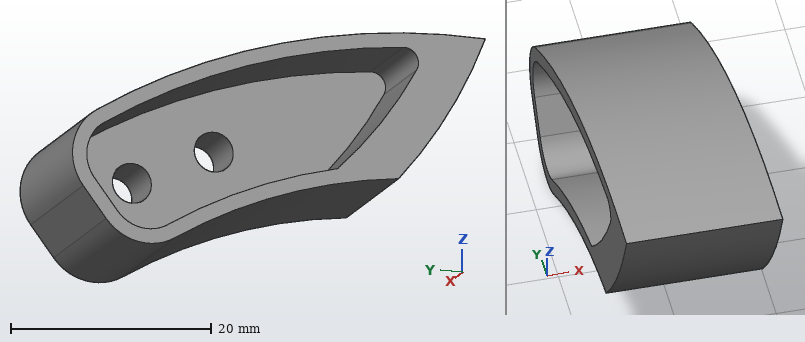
import cadquery as cq
import math


width = 16.0
band_outer_radius = 70.6
band_height = 15.0
band_inner_radius = band_outer_radius - band_height

end_angle = 37.25
end_corner_radius = 5.5

tip_radius = 49.9
tip_axis_distance = 98.3
tip_axis_angle = 26.24

pocket_depth = 10.0
wall = 1.5
tip_wall = 5.0
pocket_end_corner_radius = end_corner_radius - wall
pocket_tip_corner_radius = 1.5

hole_diameter = 4.1
hole_angles = (20.4, 29.05)
hole_path_radius = (band_outer_radius + band_inner_radius) / 2


def polar(radius, angle):
    """Point (Y, Z) at a radius and an angle around the band axis."""
    radians = math.radians(angle)
    return (radius * math.sin(radians), radius * math.cos(radians))


def tip_angle_at(radius, arc_radius):
    """Angle where a tip arc crosses a circle around the band axis (cosine rule)."""
    cosine = (radius**2 + tip_axis_distance**2 - arc_radius**2) / (2 * radius * tip_axis_distance)
    return tip_axis_angle - math.degrees(math.acos(cosine))


def end_angle_at(radius, inset):
    """Angle where the end line, moved inwards by inset, crosses a circle around the band axis."""
    return end_angle - math.degrees(math.asin(inset / radius))


def tip_arc_middle(start, finish, arc_radius):
    """Middle point of the tip arc between two points on it."""
    axis_y, axis_z = polar(tip_axis_distance, tip_axis_angle)
    offset_y = (start[0] + finish[0]) / 2 - axis_y
    offset_z = (start[1] + finish[1]) / 2 - axis_z
    stretch = arc_radius / math.hypot(offset_y, offset_z)
    return (axis_y + offset_y * stretch, axis_z + offset_z * stretch)


def band_piece(inset, tip_inset, length):
    """Sharp-cornered band piece with its outline moved inwards, and its four corner points."""
    outer_radius = band_outer_radius - inset
    inner_radius = band_inner_radius + inset
    arc_radius = tip_radius - tip_inset

    outer_tip_angle = tip_angle_at(outer_radius, arc_radius)
    inner_tip_angle = tip_angle_at(inner_radius, arc_radius)
    outer_end_angle = end_angle_at(outer_radius, inset)
    inner_end_angle = end_angle_at(inner_radius, inset)

    outer_tip = polar(outer_radius, outer_tip_angle)
    inner_tip = polar(inner_radius, inner_tip_angle)
    outer_end = polar(outer_radius, outer_end_angle)
    inner_end = polar(inner_radius, inner_end_angle)

    solid = (
        cq.Workplane("YZ")
        .moveTo(*outer_tip)
        .threePointArc(polar(outer_radius, (outer_tip_angle + outer_end_angle) / 2), outer_end)
        .lineTo(*inner_end)
        .threePointArc(polar(inner_radius, (inner_tip_angle + inner_end_angle) / 2), inner_tip)
        .threePointArc(tip_arc_middle(inner_tip, outer_tip, arc_radius), outer_tip)
        .close()
        .extrude(length)
    )
    return solid, outer_tip, outer_end, inner_end


def round_corner(solid, corner, length, radius):
    """Fillet the edge along X that stands on one corner point of the outline."""
    edge = cq.selectors.NearestToPointSelector((length / 2, *corner))
    return solid.edges("|X").edges(edge).fillet(radius)


def make_body():
    solid, _, outer_end, inner_end = band_piece(0, 0, width)
    for corner in (outer_end, inner_end):
        solid = round_corner(solid, corner, width, end_corner_radius)
    return solid


def make_pocket():
    solid, outer_tip, outer_end, inner_end = band_piece(wall, tip_wall, pocket_depth)
    for corner in (outer_end, inner_end):
        solid = round_corner(solid, corner, pocket_depth, pocket_end_corner_radius)
    return round_corner(solid, outer_tip, pocket_depth, pocket_tip_corner_radius)


def make_cross_holes():
    centers = [polar(hole_path_radius, angle) for angle in hole_angles]
    return cq.Workplane("YZ").pushPoints(centers).circle(hole_diameter / 2).extrude(width)


result = make_body().cut(make_pocket()).cut(make_cross_holes())